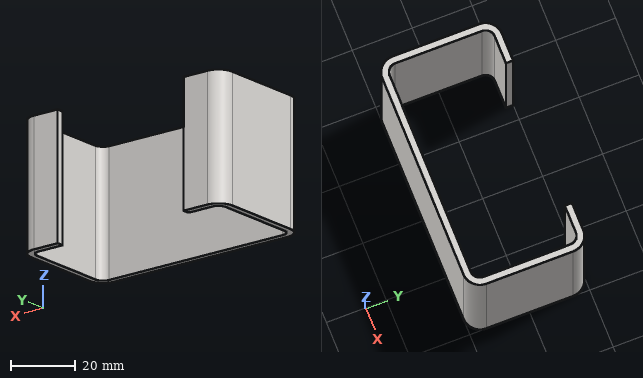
import cadquery as cq

width = 80.0
depth = 40.0
height = 44.0
thickness = 2.5
outer_radius = 5.5
inner_radius = outer_radius - thickness
opening_width = 50.0


def rounded_block(size_x, size_y, corner_radius):
    """Full-height block with rounded vertical edges."""
    block = cq.Workplane("XY").box(size_x, size_y, height)
    return block.edges("|Z").fillet(corner_radius)


outer = rounded_block(width, depth, outer_radius)
cavity = rounded_block(width - 2 * thickness, depth - 2 * thickness, inner_radius)
tube = outer.cut(cavity)

opening = (
    cq.Workplane("XY")
    .center(0, (depth - thickness) / 2)
    .box(opening_width, thickness, height)
)

result = tube.cut(opening)